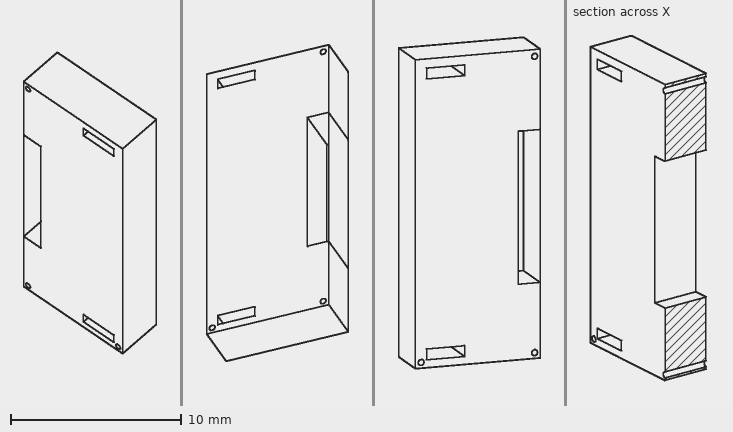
import cadquery as cq

width = 7.76
depth = 3.0
height = 18.71

window_reach = 1.37
window_bottom = 4.58
window_height = 9.26
wall_thickness = 0.02

slot_left = 4.7
slot_width = 2.38
slot_height = 0.65
lower_slot_bottom = 0.49
upper_slot_bottom = 17.5

hole_diameter = 0.35
hole_inset = 0.35
upper_hole_drop = 0.41
hole_centers = [
    (hole_inset, hole_inset),
    (width - hole_inset, hole_inset),
    (hole_inset, height - upper_hole_drop),
]


def through_box(left, bottom, size_x, size_z):
    """Box spanning the full depth, placed by its lower left corner."""
    return cq.Workplane("XY").box(size_x, depth, size_z, centered=False).translate((left, 0, bottom))


body = through_box(0, 0, width, height)
body = body.cut(through_box(0, window_bottom, window_reach, window_height))

for slot_bottom in (lower_slot_bottom, upper_slot_bottom):
    body = body.cut(through_box(slot_left, slot_bottom, slot_width, slot_height))

holes = cq.Workplane("XZ").pushPoints(hole_centers).circle(hole_diameter / 2).extrude(-depth)
body = body.cut(holes)

wall = through_box(0, window_bottom, wall_thickness, window_height)
result = body.union(wall, clean=False)